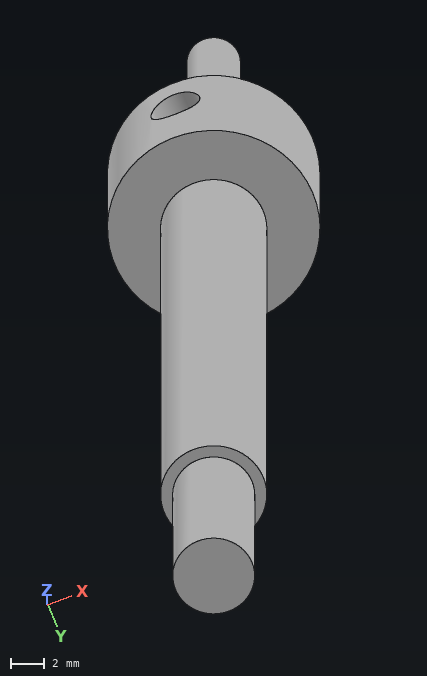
import cadquery as cq

total_length = 80.3
tip_diameter = 4.9
shank_diameter = 6.35
collar_diameter = 12.7
pin_diameter = 3.2
cross_hole_diameter = 3.1

shank_bottom = 12.7
collar_bottom = 54.3
collar_top = 62.9
cross_hole_height = 59.45


def cylinder_between(diameter, bottom, top):
    """Cylinder on the Z axis from height bottom to height top."""
    return cq.Workplane("XY").workplane(offset=bottom).circle(diameter / 2).extrude(top - bottom)


tip = cylinder_between(tip_diameter, 0, shank_bottom)
shank = cylinder_between(shank_diameter, shank_bottom, collar_bottom)
collar = cylinder_between(collar_diameter, collar_bottom, collar_top)
pin = cylinder_between(pin_diameter, collar_top, total_length)
shaft = tip.union(shank).union(collar).union(pin)

cross_hole = (
    cq.Workplane("XZ")
    .center(0, cross_hole_height)
    .circle(cross_hole_diameter / 2)
    .extrude(collar_diameter, both=True)
)

result = shaft.cut(cross_hole)